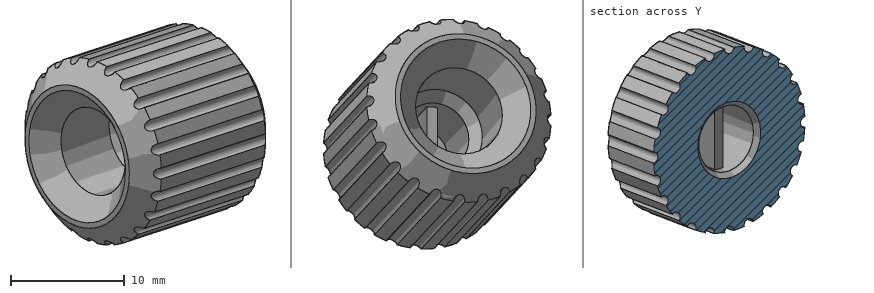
import cadquery as cq

LENGTH = 17.0
BODY_RADIUS = 8.5
END_CHAMFER = 2.0

GROOVE_COUNT = 24
GROOVE_RADIUS = 0.5

RIM_WIDTH = 0.5
CLEARANCE_RADIUS = 4.0
CLEARANCE_DEPTH = 8.0
SHAFT_RADIUS = 3.05
SHAFT_DEPTH = 15.0

RIB_WIDTH = 1.0
RIB_HEIGHT = 5.0

OPEN_END_Y = -LENGTH / 2
MOUTH_RADIUS = BODY_RADIUS - END_CHAMFER - RIM_WIDTH


def plane_at(y):
    """Plane across the axis at position y, facing +Y."""
    return cq.Plane(origin=(0, y, 0), xDir=(1, 0, 0), normal=(0, 1, 0))


def make_body():
    cylinder = cq.Workplane(plane_at(OPEN_END_Y)).circle(BODY_RADIUS).extrude(LENGTH)
    return cylinder.edges().chamfer(END_CHAMFER)


def make_grooves():
    return (
        cq.Workplane(plane_at(OPEN_END_Y))
        .polarArray(BODY_RADIUS, 0, 360, GROOVE_COUNT)
        .circle(GROOVE_RADIUS)
        .extrude(LENGTH)
    )


def make_bore():
    """Both conical steps run at 45 degrees, so each is as deep as its change in radius."""
    mouth_end = OPEN_END_Y + MOUTH_RADIUS - CLEARANCE_RADIUS
    clearance_end = OPEN_END_Y + CLEARANCE_DEPTH
    shaft_start = clearance_end + CLEARANCE_RADIUS - SHAFT_RADIUS
    floor = OPEN_END_Y + SHAFT_DEPTH
    half_profile = [
        (0, OPEN_END_Y),
        (MOUTH_RADIUS, OPEN_END_Y),
        (CLEARANCE_RADIUS, mouth_end),
        (CLEARANCE_RADIUS, clearance_end),
        (SHAFT_RADIUS, shaft_start),
        (SHAFT_RADIUS, floor),
        (0, floor),
    ]
    return cq.Workplane("XY").polyline(half_profile).close().revolve(360, (0, 0, 0), (0, 1, 0))


def make_rib():
    """The rib stands on the bore floor, with both ends running into the solid wall."""
    rib_top = OPEN_END_Y + SHAFT_DEPTH - RIB_HEIGHT
    return cq.Workplane(plane_at(rib_top)).rect(RIB_WIDTH, 2 * CLEARANCE_RADIUS).extrude(RIB_HEIGHT)


result = make_body().cut(make_grooves()).cut(make_bore()).union(make_rib())